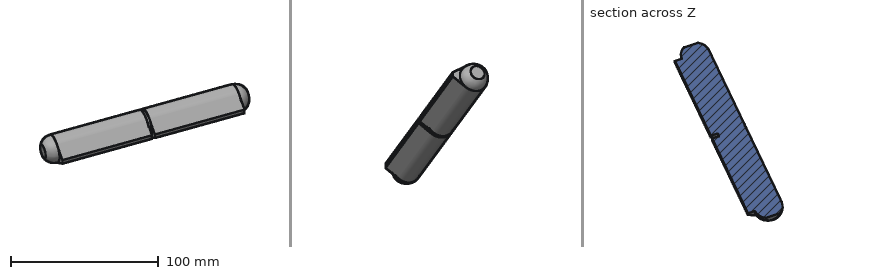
import cadquery as cq
import math

total_length = 150.0
barrel_radius = 20.0 / 2
washer_radius = 19.8 / 2
leaf_length = 66.0
cap_length = 8.0
cap_face_radius = 10.0 / 2
tip_reach = 15.0
tip_half_height = 1.6

half_length = total_length / 2
barrel_end = half_length - cap_length
washer_half_width = barrel_end - leaf_length


def make_leaf():
    """Teardrop section: a barrel with two tangent flats running to a narrow tip."""
    tip_distance = math.hypot(tip_reach, tip_half_height)
    tangent_angle = math.atan2(tip_half_height, tip_reach) + math.acos(barrel_radius / tip_distance)
    tangent_x = barrel_radius * math.cos(tangent_angle)
    tangent_z = barrel_radius * math.sin(tangent_angle)
    return (
        cq.Workplane("XZ", origin=(0, barrel_end, 0))
        .moveTo(tip_reach, -tip_half_height)
        .lineTo(tip_reach, tip_half_height)
        .lineTo(tangent_x, tangent_z)
        .threePointArc((-barrel_radius, 0), (tangent_x, -tangent_z))
        .close()
        .extrude(leaf_length)
    )


def make_core():
    """Washer and domed caps, joined on one revolved core inside the leaves."""
    radial_drop = washer_radius - cap_face_radius
    dome_radius = (radial_drop**2 + cap_length**2) / (2 * radial_drop)
    dome_center = washer_radius - dome_radius
    middle_angle = math.asin(cap_length / dome_radius) / 2
    middle_radius = dome_center + dome_radius * math.cos(middle_angle)
    middle_y = barrel_end + dome_radius * math.sin(middle_angle)
    return (
        cq.Workplane("XY")
        .moveTo(0, -half_length)
        .lineTo(cap_face_radius, -half_length)
        .threePointArc((middle_radius, -middle_y), (washer_radius, -barrel_end))
        .lineTo(washer_radius, barrel_end)
        .threePointArc((middle_radius, middle_y), (cap_face_radius, half_length))
        .lineTo(0, half_length)
        .close()
        .revolve(360, (0, 0, 0), (0, 1, 0))
    )


rear_leaf = make_leaf()
front_leaf = rear_leaf.translate((0, -leaf_length - 2 * washer_half_width, 0))
result = make_core().union(rear_leaf).union(front_leaf)